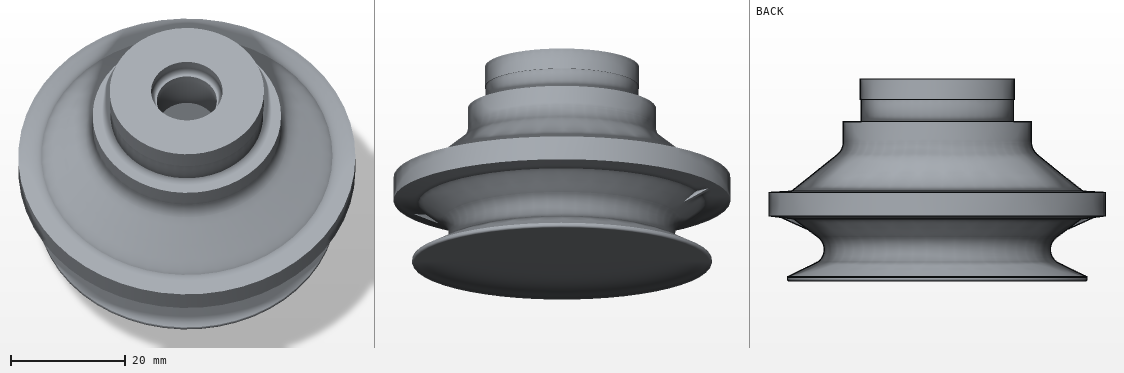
import cadquery as cq
import math

flange_diameter = 59.0
total_height = 35.4

boss_diameter = 27.0
boss_neck_diameter = 26.7
collar_diameter = 33.0
boss_height = 3.6
boss_neck_height = 3.9
collar_height = 3.55

collar_fillet_radius = 2.95

rim_bottom_z = 11.4
rim_top_z = 15.5
flange_top_inner_radius = 25.5
flange_bottom_inner_radius = 25.15
flange_top_rise = 0.25
flange_bottom_drop = 0.55

waist_edge_radius = 20.9
waist_min_radius = 19.8
waist_bottom_z = 3.35
waist_top_z = 7.65

lip_diameter = 52.5
lip_edge_radius = 26.2
lip_edge_z = 0.75
lip_wall_top_z = 0.6
lip_bottom_round = 0.35

bore_diameter = 12.5
bore_lower_diameter = 10.5
bore_upper_depth = 2.0

rib_width = 0.9
rib_tip_radius = 27.4
rib_foot_radius = 23.0
rib_foot_z = 9.15
rib_root_radius = 22.4

flange_radius = flange_diameter / 2
collar_radius = collar_diameter / 2
lip_radius = lip_diameter / 2
boss_bottom_z = total_height - boss_height
collar_top_z = boss_bottom_z - boss_neck_height
collar_bottom_z = collar_top_z - collar_height
cone_bottom_z = rim_top_z + flange_top_rise
flange_underside_z = rim_bottom_z - flange_bottom_drop


def collar_fillet_point(turn):
    """Point on the collar fillet after turning away from the vertical wall."""
    radius = collar_radius + collar_fillet_radius * (1 - math.cos(turn))
    z = collar_bottom_z - collar_fillet_radius * math.sin(turn)
    return radius, z


def collar_fillet_turn():
    """Angle at which a line from the cone's bottom edge is tangent to the fillet."""
    center_dx = collar_radius + collar_fillet_radius - flange_top_inner_radius
    center_dz = collar_bottom_z - cone_bottom_z
    distance = math.hypot(center_dx, center_dz)
    direction = math.atan2(center_dz, -center_dx)
    return math.pi / 2 - direction + math.asin(collar_fillet_radius / distance)


def revolved_body():
    """Solid of revolution, outlined from the lip at the bottom up to the boss."""
    turn = collar_fillet_turn()
    waist_middle_z = (waist_bottom_z + waist_top_z) / 2
    return (
        cq.Workplane("XZ")
        .moveTo(0, 0)
        .lineTo(lip_radius - lip_bottom_round, 0)
        .tangentArcPoint((lip_radius, lip_bottom_round), relative=False)
        .lineTo(lip_radius, lip_wall_top_z)
        .lineTo(lip_edge_radius, lip_edge_z)
        .lineTo(waist_edge_radius, waist_bottom_z)
        .threePointArc((waist_min_radius, waist_middle_z), (waist_edge_radius, waist_top_z))
        .lineTo(flange_bottom_inner_radius, flange_underside_z)
        .lineTo(flange_radius, rim_bottom_z)
        .lineTo(flange_radius, rim_top_z)
        .lineTo(flange_top_inner_radius, cone_bottom_z)
        .lineTo(*collar_fillet_point(turn))
        .threePointArc(collar_fillet_point(turn / 2), collar_fillet_point(0))
        .lineTo(collar_radius, collar_top_z)
        .lineTo(boss_neck_diameter / 2, collar_top_z)
        .lineTo(boss_neck_diameter / 2, boss_bottom_z)
        .lineTo(boss_diameter / 2, boss_bottom_z)
        .lineTo(boss_diameter / 2, total_height)
        .lineTo(0, total_height)
        .close()
        .revolve(360, (0, 0), (0, 1))
    )


def bore():
    """Stepped bore ending at the bottom of the collar, with a concave quarter-round step."""
    step_top_z = total_height - bore_upper_depth
    step_round = (bore_diameter - bore_lower_diameter) / 2
    step_bottom_z = step_top_z - step_round
    arc_offset = step_round * math.sin(math.pi / 4)
    return (
        cq.Workplane("XZ")
        .moveTo(0, collar_bottom_z)
        .lineTo(bore_lower_diameter / 2, collar_bottom_z)
        .lineTo(bore_lower_diameter / 2, step_bottom_z)
        .threePointArc(
            (bore_lower_diameter / 2 + arc_offset, step_top_z - arc_offset),
            (bore_diameter / 2, step_top_z),
        )
        .lineTo(bore_diameter / 2, total_height)
        .lineTo(0, total_height)
        .close()
        .revolve(360, (0, 0), (0, 1))
    )


def rib_tip_z():
    """Height of the conical flange underside at the rib tip."""
    face_width = flange_radius - flange_bottom_inner_radius
    return rim_bottom_z - flange_bottom_drop * (flange_radius - rib_tip_radius) / face_width


def rib(side):
    """Rib with a sloped lower edge; side is +1 or -1 along X."""
    outline = [
        (side * rib_foot_radius, rib_foot_z),
        (side * rib_tip_radius, rib_tip_z()),
        (side * rib_tip_radius, rim_bottom_z),
        (side * rib_root_radius, rim_bottom_z),
        (side * rib_root_radius, rib_foot_z),
    ]
    return cq.Workplane("XZ").polyline(outline).close().extrude(rib_width / 2, both=True)


result = revolved_body().cut(bore())
for side in (-1, 1):
    result = result.union(rib(side))